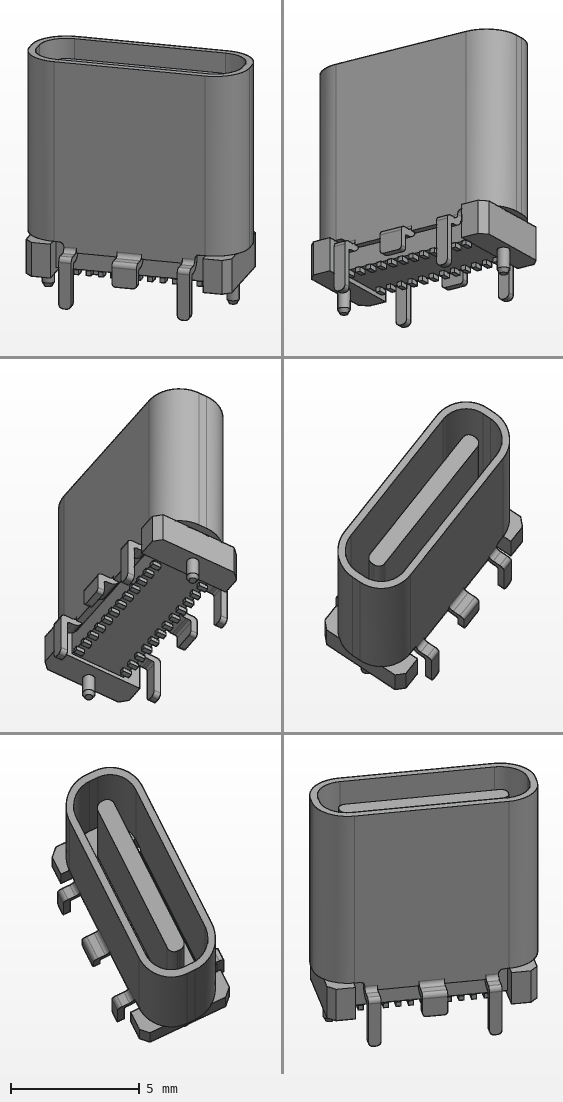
import cadquery as cq


shell_length = 8.94
shell_width = 3.17
shell_corner_radius = 1.41
wall = 0.3
overall_height = 9.9
shell_top = 8.8
shoulder_height = 1.4
skirt_height = 1.0
skirt_corner_radius = 0.2

legs_span = 4.6
leg_width = 0.5
leg_offset = 2.41
leg_bottom = shell_top - overall_height
tab_width = 1.0
bend_radius = 0.2
inner_bend_radius = 0.1
leg_tip_radius = 0.2
tab_tip_radius = 0.15

base_length = 8.36
base_width = 3.9
base_chamfer = 0.31
notch_length = 6.2
web_width = 2.4
web_clearance = 0.2
tongue_length = 6.73
tongue_width = 0.7
tongue_corner_radius = 0.3
tongue_top = 8.3

peg_offset = 3.75
peg_radius = 0.25
peg_length = 1.01
peg_chamfer = 0.18
peg_chamfer_radial = 0.1

contacts_per_row = 12
contact_row_span = 5.5
contact_width = 0.2
contact_inner = 0.89
contact_outer = 1.27

skirt_length = 2 * leg_offset + leg_width
contact_pitch = contact_row_span / (contacts_per_row - 1)
cavity_length = shell_length - 2 * wall
cavity_width = shell_width - 2 * wall
cavity_corner_radius = shell_corner_radius - wall


def block(length, width, bottom, top):
    """Box centred on the Z axis between two heights."""
    return cq.Workplane("XY").workplane(offset=bottom).rect(length, width).extrude(top - bottom)


def rounded_block(length, width, radius, bottom, top):
    """Centred box with rounded vertical edges."""
    return block(length, width, bottom, top).edges("|Z").fillet(radius)


def make_strip(center_x, width, bottom, tip_radius):
    """Bent strip on the +Y side: curves out of the shell wall, then turns down."""
    wall_outer = shell_width / 2
    wall_inner = wall_outer - wall
    strip_outer = legs_span / 2
    strip_inner = strip_outer - wall
    strip_top = skirt_height
    strip_underside = strip_top - wall

    root_center_y = wall_outer + bend_radius
    root_center_z = strip_top + bend_radius
    root_lower_radius = bend_radius + wall

    strip = (
        cq.Workplane("YZ")
        .workplane(offset=center_x - width / 2)
        .moveTo(wall_inner, root_center_z)
        .lineTo(wall_outer, root_center_z)
        .radiusArc((root_center_y, strip_top), -bend_radius)
        .lineTo(strip_outer - bend_radius, strip_top)
        .radiusArc((strip_outer, strip_top - bend_radius), bend_radius)
        .lineTo(strip_outer, bottom)
        .lineTo(strip_inner, bottom)
        .lineTo(strip_inner, strip_underside - inner_bend_radius)
        .radiusArc((strip_inner - inner_bend_radius, strip_underside), -inner_bend_radius)
        .lineTo(root_center_y, strip_underside)
        .radiusArc((wall_inner, root_center_z), root_lower_radius)
        .close()
        .extrude(width)
    )
    return strip.faces("<Z").edges("|Y").fillet(tip_radius)


def make_end_relief(side):
    """Cutter that lifts one rounded shell end clear of the housing feet."""
    relief_length = (shell_length - skirt_length) / 2
    relief = (
        cq.Workplane("XY")
        .workplane(offset=skirt_height)
        .center(side * (skirt_length + relief_length) / 2, 0)
        .rect(relief_length, shell_width)
        .extrude(shoulder_height - skirt_height)
    )
    inner_side = "<X" if side > 0 else ">X"
    return relief.faces(inner_side).edges(">Z").fillet(skirt_corner_radius)


def make_shell():
    shell = rounded_block(shell_length, shell_width, shell_corner_radius, skirt_height, shell_top)

    for side in (-1, 1):
        shell = shell.cut(make_end_relief(side))

    cavity = rounded_block(cavity_length, cavity_width, cavity_corner_radius, skirt_height, shell_top)
    shell = shell.cut(cavity)

    strips = [
        make_strip(-leg_offset, leg_width, leg_bottom, leg_tip_radius),
        make_strip(0, tab_width, 0, tab_tip_radius),
        make_strip(leg_offset, leg_width, leg_bottom, leg_tip_radius),
    ]
    for strip in strips:
        shell = shell.union(strip).union(strip.mirror("XZ"))
    return shell


def make_base():
    """Chamfered block with a foot at each end and a narrower raised web between them."""
    base = block(base_length, base_width, 0, shoulder_height).edges("|Z").chamfer(base_chamfer)
    notches = block(notch_length, base_width, 0, shoulder_height)
    web = block(notch_length, web_width, web_clearance, shoulder_height)
    return base.cut(notches).union(web)


def make_peg(center_x):
    peg = cq.Workplane("XY").center(center_x, 0).circle(peg_radius).extrude(-peg_length)
    return peg.faces("<Z").chamfer(peg_chamfer, peg_chamfer_radial)


def make_contact(center_x, side):
    """Contact tail filling the space between the web underside and the board."""
    return (
        cq.Workplane("XY")
        .center(center_x, side * (contact_inner + contact_outer) / 2)
        .rect(contact_width, contact_outer - contact_inner)
        .extrude(web_clearance)
    )


def make_housing():
    housing = make_base()
    tongue = rounded_block(
        tongue_length, tongue_width, tongue_corner_radius, shoulder_height, tongue_top
    )
    housing = housing.union(tongue)
    for side in (-1, 1):
        housing = housing.union(make_peg(side * peg_offset))
        for index in range(contacts_per_row):
            center_x = index * contact_pitch - contact_row_span / 2
            housing = housing.union(make_contact(center_x, side))
    return housing


shell = make_shell()
housing = make_housing()

result = cq.Compound.makeCompound([shell.val(), housing.val()])